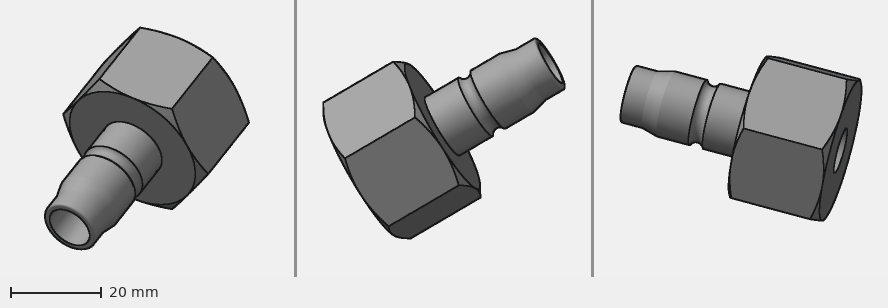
import cadquery as cq
import math

total_length = 49.0
hex_length = 21.0
hex_across_flats = 32.0
hex_across_corners = hex_across_flats / math.cos(math.pi / 6)
chamfer_angle = math.radians(30)

body_radius = 7.5
tip_radius = 6.5
bore_radius = 5.1
tip_edge_round = 0.5

tip_length = 5.05
taper_end = 8.7
groove_start = 16.1
groove_end = 19.35
groove_floor_radius = 6.45
shoulder = total_length - hex_length


def revolve_about_y(profile):
    """Turn a closed (radius, y) profile about the Y axis."""
    return profile.close().revolve(360, (0, 0, 0), (0, 1, 0))


def make_hex_nut():
    """Hexagon with corners on +X and -X, both ends chamfered down to the flats."""
    prism = (
        cq.Workplane("XZ", origin=(0, total_length, 0))
        .polygon(6, hex_across_corners)
        .extrude(hex_length)
    )
    face_radius = hex_across_flats / 2
    corner_radius = hex_across_corners / 2
    chamfer_depth = (corner_radius - face_radius) * math.tan(chamfer_angle)
    envelope = revolve_about_y(
        cq.Workplane("XY")
        .moveTo(0, shoulder)
        .lineTo(face_radius, shoulder)
        .lineTo(corner_radius, shoulder + chamfer_depth)
        .lineTo(corner_radius, total_length - chamfer_depth)
        .lineTo(face_radius, total_length)
        .lineTo(0, total_length)
    )
    return prism.intersect(envelope)


def make_plug():
    """Turned stem with a tapered nose, a rounded tip edge and a rounded locking groove."""
    groove_middle = (groove_start + groove_end) / 2
    return revolve_about_y(
        cq.Workplane("XY")
        .moveTo(0, 0)
        .lineTo(tip_radius - tip_edge_round, 0)
        .radiusArc((tip_radius, tip_edge_round), -tip_edge_round)
        .lineTo(tip_radius, tip_length)
        .lineTo(body_radius, taper_end)
        .lineTo(body_radius, groove_start)
        .threePointArc((groove_floor_radius, groove_middle), (body_radius, groove_end))
        .lineTo(body_radius, shoulder)
        .lineTo(0, shoulder)
    )


def make_bore():
    """Straight passage through the whole fitting."""
    return cq.Workplane("XZ").circle(bore_radius).extrude(-total_length)


result = make_hex_nut().union(make_plug()).cut(make_bore())